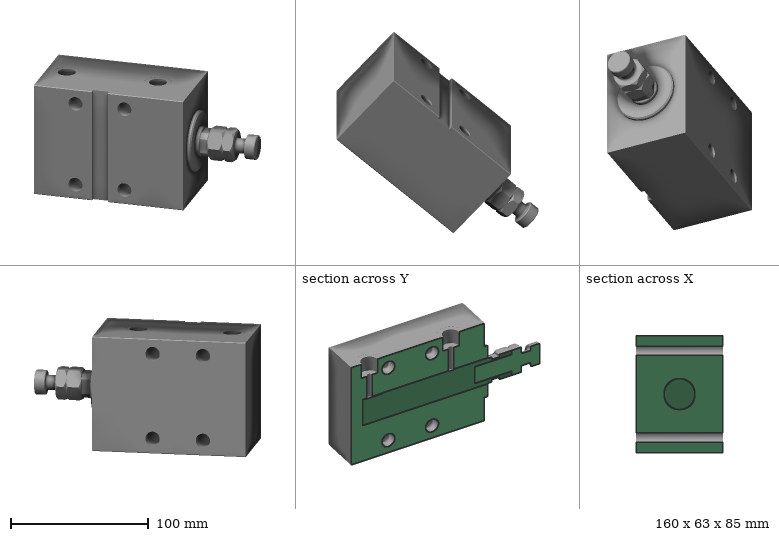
import cadquery as cq
import math


block_length = 113.0
block_width = 63.0
block_height = 85.0
edge_chamfer = 0.5

keyway_center_x = 50.0
keyway_width = 12.0
keyway_depth = 3.0

mount_diameter = 10.5
mount_pitch_x = 37.0
mount_pitch_z = 63.0

port_positions_x = (15.5, 84.5)
port_diameter = 13.2
port_depth = 12.0
spotface_diameter = 20.0
spotface_depth = 0.1
oil_passage_diameter = 4.0

collar_diameter = 45.0
collar_length = 3.0
collar_chamfer = 1.0

rod_diameter = 22.0
rod_start_x = 10.0
rod_exposed_length = 3.0
rod_chamfer = 0.5
wrench_round_diameter = 21.0
wrench_flats = 18.0
wrench_length = 6.0
wrench_chamfer = 0.5

hex_flats = 22.0
nut_length = 11.0
pin_hex_length = 8.0
stud_diameter = 14.0
stud_depth_in_rod = 20.0
neck_diameter = 11.0
neck_length = 8.0
neck_fillet = 1.3
head_diameter = 18.0
head_length = 8.0
head_chamfer = 0.5

collar_end_x = block_length + collar_length
rod_shoulder_x = collar_end_x + rod_exposed_length
rod_end_x = rod_shoulder_x + wrench_length
nut_end_x = rod_end_x + nut_length
pin_hex_end_x = nut_end_x + pin_hex_length
head_start_x = pin_hex_end_x + neck_length
stud_start_x = rod_end_x - stud_depth_in_rod


def axial_cylinder(diameter, start_x, end_x):
    """Cylinder on the rod axis between two X stations."""
    return cq.Workplane("YZ", origin=(start_x, 0, 0)).circle(diameter / 2).extrude(end_x - start_x)


def chamfered_hex(start_x, length):
    """Hexagon with flats facing +Z and -Z, its corners turned off at 45 degrees at both ends."""
    corner_diameter = hex_flats / math.cos(math.radians(30))
    corner_drop = (corner_diameter - hex_flats) / 2
    prism = cq.Workplane("YZ", origin=(start_x, 0, 0)).polygon(6, corner_diameter).extrude(length)
    envelope = (
        axial_cylinder(corner_diameter, start_x, start_x + length)
        .faces("<X or >X")
        .chamfer(corner_drop)
    )
    return prism.intersect(envelope)


def make_housing():
    block = (
        cq.Workplane("XY")
        .box(block_length, block_width, block_height, centered=(False, True, True))
        .edges("|X")
        .chamfer(edge_chamfer)
    )
    keyway = (
        cq.Workplane("XY")
        .box(keyway_width, 2 * keyway_depth, block_height)
        .translate((keyway_center_x, -block_width / 2, 0))
    )
    mount_holes = (
        cq.Workplane("XZ", origin=(keyway_center_x, block_width / 2, 0))
        .rarray(mount_pitch_x, mount_pitch_z, 2, 2)
        .circle(mount_diameter / 2)
        .extrude(block_width)
    )
    collar = (
        axial_cylinder(collar_diameter, block_length, collar_end_x)
        .faces(">X")
        .edges()
        .chamfer(collar_chamfer)
    )
    housing = block.cut(keyway).cut(mount_holes).union(collar)

    port_steps = (
        (spotface_diameter, spotface_depth),
        (port_diameter, port_depth),
        (oil_passage_diameter, block_height / 2),
    )
    for port_x in port_positions_x:
        for diameter, depth in port_steps:
            step = (
                cq.Workplane("XY", origin=(port_x, 0, block_height / 2))
                .circle(diameter / 2)
                .extrude(-depth)
            )
            housing = housing.cut(step)

    return housing.cut(axial_cylinder(rod_diameter, rod_start_x, collar_end_x))


def make_rod():
    shaft = (
        axial_cylinder(rod_diameter, rod_start_x, rod_shoulder_x)
        .faces(">X")
        .edges()
        .chamfer(rod_chamfer)
    )
    wrench_square = cq.Workplane("YZ", origin=(rod_shoulder_x, 0, 0)).rect(wrench_flats, wrench_flats)
    wrench_end = (
        axial_cylinder(wrench_round_diameter, rod_shoulder_x, rod_end_x)
        .faces(">X")
        .edges()
        .chamfer(wrench_chamfer)
        .intersect(wrench_square.extrude(wrench_length))
    )
    stud_hole = axial_cylinder(stud_diameter, stud_start_x, rod_end_x)
    return shaft.union(wrench_end).cut(stud_hole)


def make_lock_nut():
    stud_hole = axial_cylinder(stud_diameter, rod_end_x, nut_end_x)
    return chamfered_hex(rod_end_x, nut_length).cut(stud_hole)


def make_pin():
    stud = axial_cylinder(stud_diameter, stud_start_x, nut_end_x)
    pin_end_x = head_start_x + head_length
    head = (
        axial_cylinder(head_diameter, head_start_x, pin_end_x)
        .faces("<X or >X")
        .chamfer(head_chamfer)
    )
    neck = axial_cylinder(neck_diameter, pin_hex_end_x, head_start_x)
    pin = chamfered_hex(nut_end_x, pin_hex_length).union(neck).union(head).union(stud)
    neck_rims = cq.selectors.RadiusNthSelector(0)
    return pin.edges("%CIRCLE").edges(neck_rims).fillet(neck_fillet)


housing = make_housing()
rod = make_rod()
lock_nut = make_lock_nut()
pin = make_pin()

result = cq.Compound.makeCompound([housing.val(), rod.val(), lock_nut.val(), pin.val()])